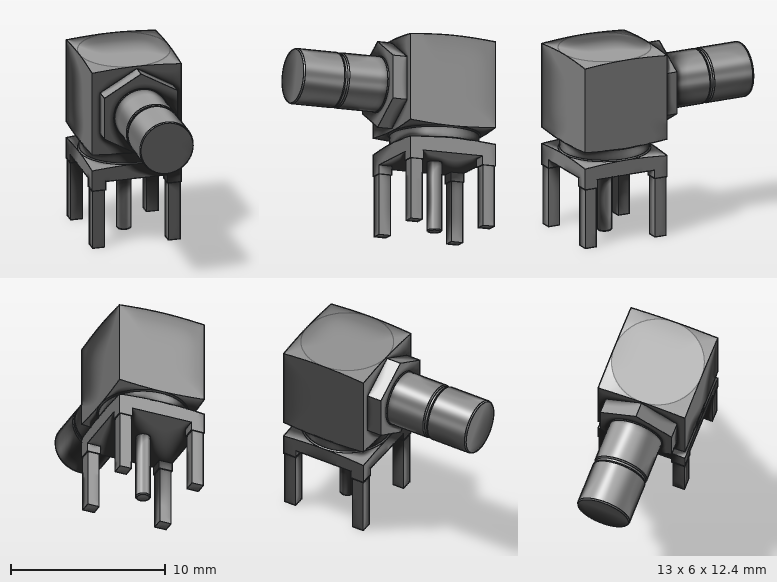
import cadquery as cq
import math

total_length = 13.0
total_height = 12.4
width = 6.0
half_width = width / 2
corner_radius = half_width * math.sqrt(2)

plate_bottom = 4.59
plate_top = 5.59
body_bottom = total_height - width
corner_drop = 0.15
neck_diameter = 5.8
neck_bevel = 0.08
neck_ledge_height = 0.06
foot_size = 0.92
foot_bottom = 4.0
leg_size = 0.8
leg_inset = 0.05

pin_diameter = 0.96
pin_tip_diameter = 0.8

plug_height = body_bottom + half_width
hex_corner_diameter = 5.7
hex_thickness = 1.0
barrel_diameter = 3.6
barrel_end_diameter = 3.5
barrel_end_bevel = 0.1
barrel_root_diameter = 3.69
barrel_root_bevel = 0.08
groove_diameter = 3.5
groove_center = 9.95
groove_width = 0.36
groove_floor_width = 0.15


def square_block(size, bottom, top):
    """Square prism centred on the vertical axis."""
    return cq.Workplane("XY").workplane(offset=bottom).rect(size, size).extrude(top - bottom)


def revolved(points):
    """Solid turned about the vertical axis from (radius, height) points."""
    return cq.Workplane("XZ").polyline(points).close().revolve(360, (0, 0), (0, 1))


def make_body():
    """Cube with its corners turned to a shallow cone at the top and bottom."""
    envelope = revolved([
        (0, body_bottom),
        (half_width, body_bottom),
        (corner_radius, body_bottom + corner_drop),
        (corner_radius, total_height - corner_drop),
        (half_width, total_height),
        (0, total_height),
    ])
    return square_block(width, body_bottom, total_height).intersect(envelope)


def make_neck():
    """Round neck between base and body, bevelled out to the full width at both ends."""
    neck_radius = neck_diameter / 2
    return revolved([
        (0, plate_bottom),
        (half_width, plate_bottom),
        (half_width, plate_top),
        (neck_radius, plate_top + neck_ledge_height),
        (neck_radius, body_bottom - neck_bevel),
        (half_width, body_bottom),
        (0, body_bottom),
    ])


def make_base():
    """Square plate with a coned top and a stepped square leg in each corner."""
    base = square_block(width, plate_bottom, plate_top).intersect(revolved([
        (0, plate_bottom),
        (corner_radius, plate_bottom),
        (corner_radius, plate_top - corner_drop),
        (half_width, plate_top),
        (0, plate_top),
    ]))
    foot_spacing = width - foot_size
    leg_spacing = width - 2 * leg_inset - leg_size
    feet = (
        cq.Workplane("XY").workplane(offset=foot_bottom)
        .rarray(foot_spacing, foot_spacing, 2, 2)
        .rect(foot_size, foot_size)
        .extrude(plate_bottom - foot_bottom)
    )
    legs = (
        cq.Workplane("XY")
        .rarray(leg_spacing, leg_spacing, 2, 2)
        .rect(leg_size, leg_size)
        .extrude(foot_bottom)
    )
    return base.union(feet).union(legs)


def make_pin():
    """Centre pin with a bevelled lower tip."""
    bevel = (pin_diameter - pin_tip_diameter) / 2
    return (
        cq.Workplane("XY").circle(pin_diameter / 2).extrude(plate_bottom)
        .faces("<Z").chamfer(bevel)
    )


def make_plug():
    """Hexagonal flange and grooved barrel, with X measured from the vertical axis."""
    flange_end = half_width + hex_thickness
    barrel_end = total_length - half_width
    groove_x = groove_center - half_width
    radius = barrel_diameter / 2
    flange = (
        cq.Workplane("YZ").workplane(offset=half_width)
        .center(0, plug_height)
        .transformed(rotate=(0, 0, 90))
        .polygon(6, hex_corner_diameter)
        .extrude(hex_thickness)
    )
    barrel = (
        cq.Workplane("XZ", origin=(0, 0, plug_height))
        .polyline([
            (half_width, 0),
            (half_width, barrel_root_diameter / 2),
            (flange_end, barrel_root_diameter / 2),
            (flange_end + barrel_root_bevel, radius),
            (groove_x - groove_width / 2, radius),
            (groove_x - groove_floor_width / 2, groove_diameter / 2),
            (groove_x + groove_floor_width / 2, groove_diameter / 2),
            (groove_x + groove_width / 2, radius),
            (barrel_end - barrel_end_bevel, radius),
            (barrel_end, barrel_end_diameter / 2),
            (barrel_end, 0),
        ])
        .close()
        .revolve(360, (0, 0), (1, 0))
    )
    return flange.union(barrel)


result = make_base().union(make_neck()).union(make_body()).union(make_pin()).union(make_plug())